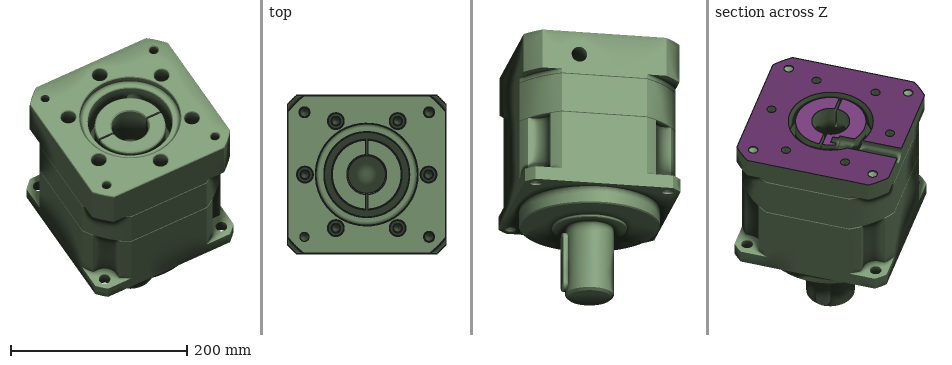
import cadquery as cq
import math

side = 180.0
height = 287.0

collar_base = 82.5
pilot_base = 85.2
flange_base = 105.3
flange_top = 120.5
housing_top = 189.5
ring_top = 235.5
adapter_step = 240.8

flange_corner_radius = 120.0
body_corner_radius = 102.5
adapter_corner_radius = 115.0
joint_chamfer = 0.5

shaft_radius = 27.5
shaft_chamfer = 3.0
collar_radius = 42.5
collar_chamfer = 1.0
pilot_radius = 80.0
pilot_chamfer = 1.5
mount_spacing = 76.0
mount_hole_radius = 6.5
relief_edge = 60.8
relief_fillet = 15.2

key_width = 16.0
key_length = 70.0
key_base = 5.7
key_top_y = 32.1
key_chamfer = 1.1

hub_radius = 40.2
hub_top = 271.5
hub_bore_radius = 21.2
hub_bore_chamfer = 1.5
hub_bore_floor = 218.0
hub_chamfer = 1.1
hub_slot_width = 3.0

screw_y = 29.0
screw_z = 259.7
access_radius = 9.0
screw_seat_x = -17.2
socket_radius = 5.7
socket_chamfer = 1.5
socket_depth = 7.2

edge_chamfer = 1.0
register_radius = 57.5
register_depth = 7.7
register_chamfer = 1.0
adapter_bore_radius = 48.0
bore_chamfer = 1.0
motor_hole_spacing = 70.5
motor_hole_radius = 5.2
motor_hole_depth = 25.8
motor_hole_chamfer = 1.0
bolt_count = 6
bolt_circle_radius = 70.0
counterbore_radius = 8.5
counterbore_chamfer = 1.0
counterbore_depth = 23.0
bolt_hole_radius = 4.5
bolt_hole_depth = 14.4
bolt_hole_chamfer = 1.0
drill_point_angle = 118.0


def cylinder(radius, z_low, z_high):
    """Upright cylinder on the main axis."""
    return cq.Workplane("XY").workplane(offset=z_low).circle(radius).extrude(z_high - z_low)


def rounded_square(corner_radius, z_low, z_high):
    """Square prism whose corners are trimmed by a cylinder about the main axis."""
    prism = cq.Workplane("XY").workplane(offset=z_low).rect(side, side).extrude(z_high - z_low)
    return prism.intersect(cylinder(corner_radius, z_low, z_high))


def revolved(profile):
    """Turn a closed (radius, z) profile about the main axis."""
    return cq.Workplane("XZ").polyline(profile).close().revolve(360, (0, 0, 0), (0, 1, 0))


def corner_points(spacing):
    return [(sx * spacing, sy * spacing) for sx in (-1, 1) for sy in (-1, 1)]


def drilled_hole(radius, chamfer, z_top, depth):
    """Cutter for a blind hole with a chamfered mouth and a conical drill point."""
    tip_depth = radius / math.tan(math.radians(drill_point_angle / 2))
    profile = [(0, z_top)]
    if chamfer > 0:
        profile.append((radius + chamfer, z_top))
    profile += [
        (radius, z_top - chamfer),
        (radius, z_top - depth),
        (0, z_top - depth - tip_depth),
    ]
    return revolved(profile)


def clamp_access(x_start, x_end):
    """Cylinder along X that gives access to the clamp screw."""
    plane = cq.Workplane("YZ").workplane(offset=x_start).center(screw_y, screw_z)
    return plane.circle(access_radius).extrude(x_end - x_start)


def make_key():
    key = (
        cq.Workplane("XZ")
        .center(0, key_base + key_length / 2)
        .slot2D(key_length, key_width, 90)
        .extrude(-key_top_y)
    )
    return key.faces(">Y").chamfer(key_chamfer)


def make_corner_reliefs():
    """Corner pockets above the flange that clear the mounting bolts."""
    span = side - relief_edge
    center = relief_edge + span / 2
    reliefs = cq.Workplane("XY").workplane(offset=flange_top)
    reliefs = reliefs.pushPoints(corner_points(center)).rect(span, span)
    reliefs = reliefs.extrude(housing_top - flange_top)
    return reliefs.edges("|Z").fillet(relief_fillet)


def make_housing():
    flange = rounded_square(flange_corner_radius, flange_base, flange_top)
    flange = flange.cut(
        cq.Workplane("XY")
        .workplane(offset=flange_base)
        .pushPoints(corner_points(mount_spacing))
        .circle(mount_hole_radius)
        .extrude(flange_top - flange_base)
    )
    body = rounded_square(body_corner_radius, flange_top, housing_top)
    body = body.faces(">Z").chamfer(joint_chamfer).cut(make_corner_reliefs())
    pilot = cylinder(pilot_radius, pilot_base, flange_base).faces("<Z").chamfer(pilot_chamfer)
    collar = cylinder(collar_radius, collar_base, pilot_base).faces("<Z").chamfer(collar_chamfer)
    shaft = cylinder(shaft_radius, 0, collar_base).faces("<Z").chamfer(shaft_chamfer)
    return body.union(flange).union(pilot).union(collar).union(shaft).union(make_key())


def make_screw_socket():
    """Blind socket with a chamfered mouth, sunk along +X into the screw seat."""
    seat = cq.Workplane("YZ").workplane(offset=screw_seat_x).center(screw_y, screw_z)
    socket = seat.circle(socket_radius).extrude(socket_depth)
    mouth = cq.Solid.makeCone(
        socket_radius + socket_chamfer,
        socket_radius,
        socket_chamfer,
        cq.Vector(screw_seat_x, screw_y, screw_z),
        cq.Vector(1, 0, 0),
    )
    return socket.union(cq.Workplane(mouth))


def make_hub_bore():
    mouth_radius = hub_bore_radius + hub_bore_chamfer
    profile = [
        (0, hub_bore_floor),
        (hub_bore_radius, hub_bore_floor),
        (hub_bore_radius, hub_top - hub_bore_chamfer),
        (mouth_radius, hub_top),
        (0, hub_top),
    ]
    return revolved(profile)


def make_hub():
    hub = cylinder(hub_radius, ring_top, hub_top)
    hub = hub.faces(">Z").chamfer(hub_chamfer)
    slot = cq.Workplane("XY").workplane(offset=ring_top).rect(hub_slot_width, 2 * hub_radius)
    hub = hub.cut(slot.extrude(hub_top - ring_top))
    hub = hub.cut(clamp_access(-hub_radius, screw_seat_x))
    return hub.cut(make_screw_socket())


def make_ring():
    ring = rounded_square(body_corner_radius, housing_top, ring_top)
    ring = ring.faces("<Z or >Z").chamfer(joint_chamfer)
    return ring.union(make_hub()).cut(make_hub_bore())


def make_center_bore():
    """Through bore with a wider motor register at the top, both chamfered."""
    register_floor = height - register_depth
    profile = [
        (0, ring_top),
        (adapter_bore_radius, ring_top),
        (adapter_bore_radius, register_floor - bore_chamfer),
        (adapter_bore_radius + bore_chamfer, register_floor),
        (register_radius, register_floor),
        (register_radius, height - register_chamfer),
        (register_radius + register_chamfer, height),
        (0, height),
    ]
    return revolved(profile)


def make_counterbore(floor):
    mouth_radius = counterbore_radius + counterbore_chamfer
    profile = [
        (0, floor),
        (counterbore_radius, floor),
        (counterbore_radius, height - counterbore_chamfer),
        (mouth_radius, height),
        (0, height),
    ]
    return revolved(profile)


def make_adapter():
    adapter = rounded_square(adapter_corner_radius, adapter_step, height)
    adapter = adapter.faces(">Z").chamfer(edge_chamfer)
    lower_step = rounded_square(body_corner_radius, ring_top, adapter_step)
    adapter = adapter.union(lower_step.faces("<Z").chamfer(joint_chamfer))
    adapter = adapter.cut(make_center_bore())

    for x, y in corner_points(motor_hole_spacing):
        plain_mouth = x < 0 and y < 0
        chamfer = 0 if plain_mouth else motor_hole_chamfer
        hole = drilled_hole(motor_hole_radius, chamfer, height, motor_hole_depth)
        adapter = adapter.cut(hole.translate((x, y, 0)))

    counterbore_floor = height - counterbore_depth
    bolt_hole = drilled_hole(bolt_hole_radius, bolt_hole_chamfer, counterbore_floor, bolt_hole_depth)
    bolt_hole = bolt_hole.union(make_counterbore(counterbore_floor))
    for index in range(bolt_count):
        placed = bolt_hole.translate((bolt_circle_radius, 0, 0))
        adapter = adapter.cut(placed.rotate((0, 0, 0), (0, 0, 1), index * 360 / bolt_count))

    return adapter.cut(clamp_access(-side / 2, -hub_radius / 2))


housing = make_housing()
ring = make_ring()
adapter = make_adapter()

result = cq.Compound.makeCompound([housing.val(), ring.val(), adapter.val()])